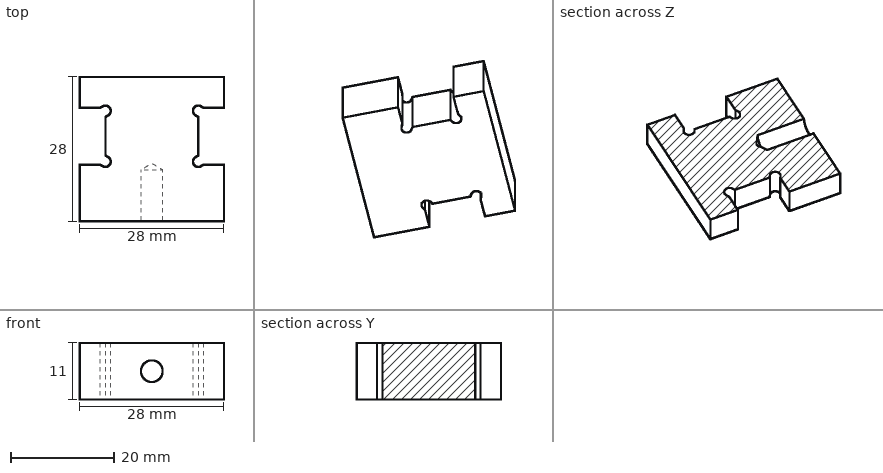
import cadquery as cq
import math

side = 28.0
height = 11.0

slot_depth = 5.0
slot_width = 11.0
slot_to_back = 6.0

relief_radius = 1.0
relief_inset = 0.6
lead_in_angle = 30.0

hole_diameter = 4.2
hole_depth = 10.0
drill_point_angle = 118.0

slot_floor_x = side / 2 - slot_depth
slot_center_y = side / 2 - slot_to_back - slot_width / 2


def slot_half():
    """Back half of the +X slot, with its corner relief."""
    slope = math.radians(lead_in_angle)
    wall_y = slot_center_y + slot_width / 2
    center_y = wall_y - relief_inset
    tangent_x = relief_radius * math.sin(slope)
    tangent_y = relief_radius * math.cos(slope)
    floor_corner_y = center_y - relief_radius / math.cos(slope)
    wall_lead_in = (tangent_y - relief_inset) / math.tan(slope)
    return (
        cq.Workplane("XY")
        .moveTo(side / 2, slot_center_y)
        .lineTo(slot_floor_x, slot_center_y)
        .lineTo(slot_floor_x, floor_corner_y)
        .lineTo(slot_floor_x - tangent_x, center_y - tangent_y)
        .threePointArc(
            (slot_floor_x - relief_radius, center_y),
            (slot_floor_x + tangent_x, center_y + tangent_y),
        )
        .lineTo(slot_floor_x + tangent_x + wall_lead_in, wall_y)
        .lineTo(side / 2, wall_y)
        .close()
        .extrude(height / 2, both=True)
    )


def drilled_hole():
    """Blind hole along +Y with a conical drill point."""
    radius = hole_diameter / 2
    point_length = radius / math.tan(math.radians(drill_point_angle / 2))
    front_y = -side / 2
    return (
        cq.Workplane("XY")
        .moveTo(0, front_y)
        .lineTo(radius, front_y)
        .lineTo(radius, front_y + hole_depth)
        .lineTo(0, front_y + hole_depth + point_length)
        .close()
        .revolve(360, (0, 0, 0), (0, 1, 0))
    )


back_half = slot_half()
slot = back_half.union(back_half.mirror("XZ", (0, slot_center_y, 0)))

result = (
    cq.Workplane("XY")
    .box(side, side, height)
    .cut(slot)
    .cut(slot.mirror("YZ"))
    .cut(drilled_hole())
)